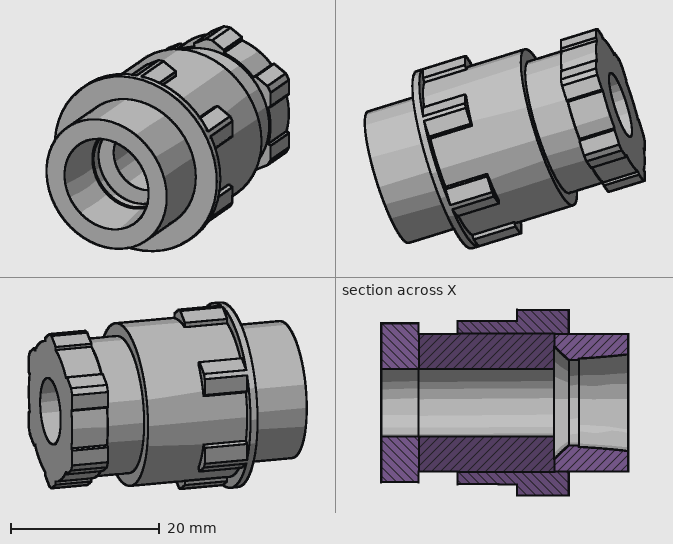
import cadquery as cq

SOCKET_DEPTH = 6.65
THROAT_END = 8.0
FLANGE_FRONT = 8.0
FLANGE_REAR = 9.0
JOINT = 9.98
NUT_LUG_END = 15.0
NUT_REAR = 23.0
RING_FRONT = 28.2
LENGTH = 33.25

PIPE_R = 9.28
NUT_R = 11.0
FLANGE_R = 12.5
RING_R = 9.5
RING_LUG_R = 10.7

SOCKET_MOUTH_R = 6.5
SOCKET_END_R = 5.92
THROAT_R = 5.72
RECESS_R = 7.58
BORE_R = 4.5

LUG_WIDTH = 4.6
LUG_COUNT = 6


def lengthwise(section, start, end):
    """Extrude a section, drawn on a workplane facing -Y, from one station to another."""
    return section.extrude(start - end)


def section_at(station):
    """Workplane across the Y axis at a station."""
    return cq.Workplane("XZ", origin=(0, station, 0))


def disc(radius, start, end):
    """Solid cylinder about the Y axis between two stations."""
    return lengthwise(section_at(start).circle(radius), start, end)


def lug_bar(index, span, start, end):
    """Bar across the axis that covers one pair of opposite lugs."""
    bar = lengthwise(section_at(start).rect(LUG_WIDTH, span), start, end)
    return bar.rotate((0, 0, 0), (0, 1, 0), index * 360 / LUG_COUNT)


def lugs(flat_radius, tip_radius, start, end):
    """Hexagon corners, rounded to the tip radius and trimmed to the lug width."""
    hexagon = section_at(start).polygon(LUG_COUNT, 2 * flat_radius, circumscribed=True)
    rounded_hexagon = lengthwise(hexagon, start, end).intersect(disc(tip_radius, start, end))
    bars = lug_bar(0, 2 * tip_radius, start, end)
    for index in range(1, LUG_COUNT // 2):
        bars = bars.union(lug_bar(index, 2 * tip_radius, start, end))
    return rounded_hexagon.intersect(bars)


def make_front_pipe():
    """Pipe with a tapered socket, a short throat and a recess flaring toward the joint."""
    passage = (
        cq.Workplane("XY")
        .moveTo(0, 0)
        .lineTo(SOCKET_MOUTH_R, 0)
        .lineTo(SOCKET_END_R, SOCKET_DEPTH)
        .lineTo(THROAT_R, SOCKET_DEPTH)
        .lineTo(THROAT_R, THROAT_END)
        .lineTo(RECESS_R, JOINT)
        .lineTo(0, JOINT)
        .close()
        .revolve(360, (0, 0, 0), (0, 1, 0))
    )
    return disc(PIPE_R, 0, JOINT).cut(passage)


def make_nut():
    """Flanged sleeve with grip lugs behind the flange, fitting over both pipes."""
    flange = disc(FLANGE_R, FLANGE_FRONT, FLANGE_REAR)
    sleeve = disc(NUT_R, FLANGE_REAR, NUT_REAR)
    grip = lugs(NUT_R, FLANGE_R, FLANGE_REAR, NUT_LUG_END)
    return flange.union(sleeve).union(grip).cut(disc(PIPE_R, FLANGE_FRONT, NUT_REAR))


def make_rear_pipe():
    """Plain pipe from the joint to the end ring."""
    return disc(PIPE_R, JOINT, RING_FRONT).cut(disc(BORE_R, JOINT, RING_FRONT))


def make_end_ring():
    """Lugged ring closing the rear end."""
    ring = disc(RING_R, RING_FRONT, LENGTH)
    grip = lugs(RING_R, RING_LUG_R, RING_FRONT, LENGTH)
    return ring.union(grip).cut(disc(BORE_R, RING_FRONT, LENGTH))


bodies = [make_front_pipe(), make_nut(), make_rear_pipe(), make_end_ring()]

result = cq.Compound.makeCompound([body.solids().val() for body in bodies])